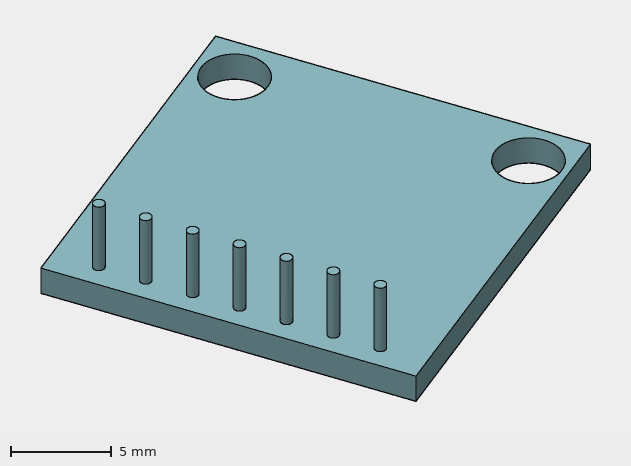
import cadquery as cq

board_side = 20.5
board_thickness = 1.6

hole_diameter = 3.65
hole_side_inset = 2.23
left_hole_back_inset = 2.56
right_hole_back_inset = 2.5

pin_count = 7
pin_pitch = 2.56
pin_diameter = 0.64
pin_height = 4.0
pin_front_inset = 1.31

half_side = board_side / 2
hole_x = half_side - hole_side_inset
hole_centres = [
    (-hole_x, half_side - left_hole_back_inset),
    (hole_x, half_side - right_hole_back_inset),
]
pin_y = pin_front_inset - half_side
first_pin_x = -pin_pitch * (pin_count - 1) / 2
pin_centres = [(first_pin_x + i * pin_pitch, pin_y) for i in range(pin_count)]


def make_board():
    """Flat board with its through mounting holes."""
    board = cq.Workplane("XY").rect(board_side, board_side).extrude(board_thickness)
    holes = cq.Workplane("XY").pushPoints(hole_centres).circle(hole_diameter / 2).extrude(board_thickness)
    return board.cut(holes)


def make_pins():
    """Round pins running from the underside of the board up to their tips."""
    full_length = board_thickness + pin_height
    return cq.Workplane("XY").pushPoints(pin_centres).circle(pin_diameter / 2).extrude(full_length)


result = make_board().union(make_pins())